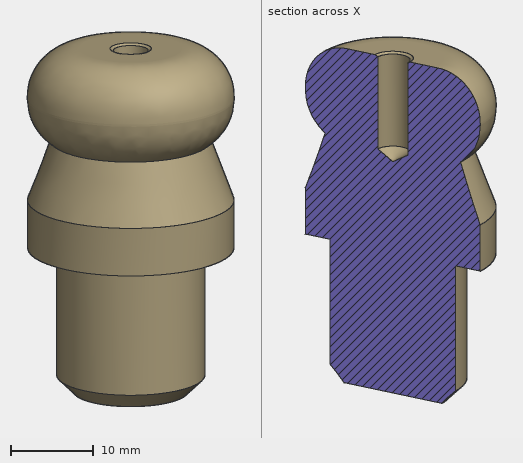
import cadquery as cq
import math

total_height = 43.0
knob_radius = 25.03 / 2
collar_radius = 25.0 / 2
shank_radius = 17.97 / 2
shank_chamfer = 2.0
shank_length = 18.0
collar_height = 5.98
taper_height = 7.52
knob_top_radius = knob_radius / 2
knob_band_height = 0.25

hole_radius = 2.1
hole_mouth_radius = 2.5
hole_depth = 12.05
cone_angle = 120.0

collar_top = shank_length + collar_height
neck_height = collar_top + taper_height

knob_round = knob_radius - knob_top_radius
band_bottom = total_height - knob_round
band_top = band_bottom + knob_band_height
neck_drop = band_bottom - neck_height
neck_radius = knob_top_radius + math.sqrt(knob_round**2 - neck_drop**2)


def make_body():
    """Shank, collar, taper and knob as one turned outline."""
    half_turn = math.asin(neck_drop / knob_round) / 2
    lower_round_middle = (
        knob_top_radius + knob_round * math.cos(half_turn),
        band_bottom - knob_round * math.sin(half_turn),
    )
    return (
        cq.Workplane("XZ")
        .moveTo(0, 0)
        .lineTo(shank_radius - shank_chamfer, 0)
        .lineTo(shank_radius, shank_chamfer)
        .lineTo(shank_radius, shank_length)
        .lineTo(collar_radius, shank_length)
        .lineTo(collar_radius, collar_top)
        .lineTo(neck_radius, neck_height)
        .threePointArc(lower_round_middle, (knob_radius, band_bottom))
        .lineTo(knob_radius, band_top)
        .tangentArcPoint((knob_top_radius, total_height), relative=False)
        .lineTo(0, total_height)
        .close()
        .revolve(360, (0, 0, 0), (0, 1, 0))
    )


def make_hole():
    """Countersunk blind hole with a conical drill tip."""
    cone_slope = 1 / math.tan(math.radians(cone_angle / 2))
    mouth_depth = (hole_mouth_radius - hole_radius) * cone_slope
    tip_height = hole_radius * cone_slope
    hole_bottom = total_height - hole_depth
    return (
        cq.Workplane("XZ")
        .moveTo(0, total_height)
        .lineTo(hole_mouth_radius, total_height)
        .lineTo(hole_radius, total_height - mouth_depth)
        .lineTo(hole_radius, hole_bottom)
        .lineTo(0, hole_bottom - tip_height)
        .close()
        .revolve(360, (0, 0, 0), (0, 1, 0))
    )


result = make_body().cut(make_hole())